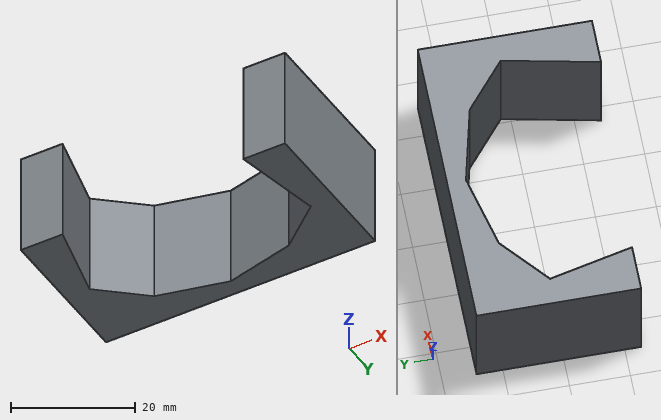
import cadquery as cq

width = 50.35
depth = 28.6
height = 19.0
half_width = width / 2

left_tip_y = 1.55

tip_half_width = 17.35
widest_half_width = 20.65
left_widest_y = 15.65
right_widest_y = 15.85
shoulder_half_width = width / 4
shoulder_y = 22.5
crown_y = 25.55

outline = [
    (-half_width, left_tip_y),
    (-tip_half_width, left_tip_y),
    (-widest_half_width, left_widest_y),
    (-shoulder_half_width, shoulder_y),
    (0, crown_y),
    (shoulder_half_width, shoulder_y),
    (widest_half_width, right_widest_y),
    (tip_half_width, 0),
    (half_width, 0),
    (half_width, depth),
    (-half_width, depth),
]

result = cq.Workplane("XY").polyline(outline).close().extrude(height)